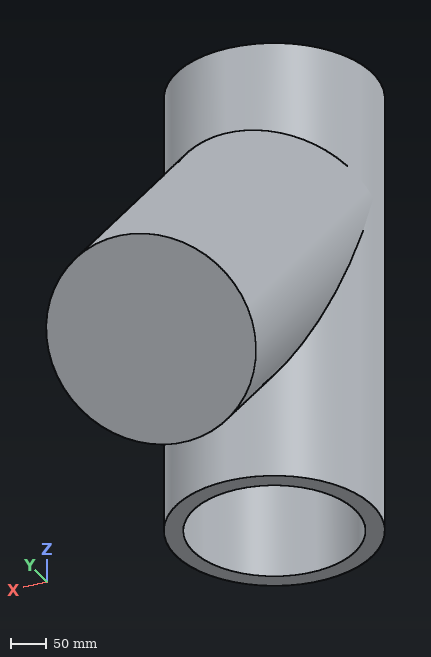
import cadquery as cq
import math

height = 711.0
outer_diameter = 315.0
wall = 28.0
branch_angle = 45.0
branch_length = 559.0

outer_radius = outer_diameter / 2
bore_radius = outer_radius - wall
tilt = math.radians(branch_angle)

junction_height = branch_length * math.cos(tilt) + outer_radius * math.sin(tilt)


def run_cylinder(radius):
    """Upright cylinder along the full run."""
    return cq.Workplane("XY").circle(radius).extrude(height)


def branch_cylinder():
    """Cylinder from the crossing of the axes, down and out toward +Y."""
    branch_plane = cq.Plane(
        origin=(0, 0, junction_height),
        xDir=(1, 0, 0),
        normal=(0, math.sin(tilt), -math.cos(tilt)),
    )
    return cq.Workplane(branch_plane).circle(outer_radius).extrude(branch_length)


body = run_cylinder(outer_radius).union(branch_cylinder())
result = body.cut(run_cylinder(bore_radius))